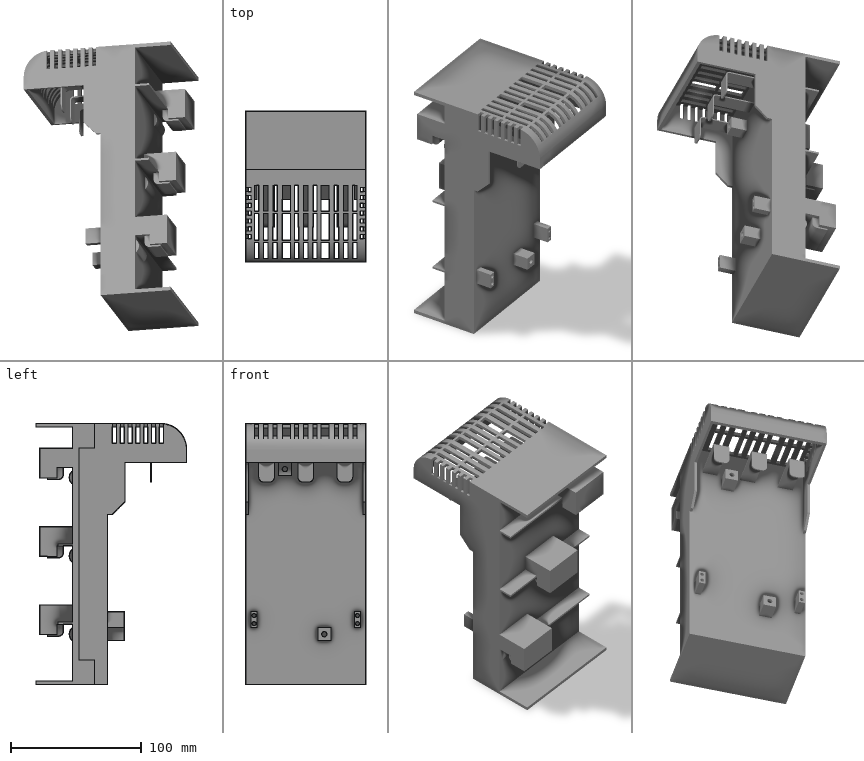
import cadquery as cq


width = 92.0
height = 200.0
half_width = width / 2

base_rear_y = 27.0
joint_y = 10.2
flange_length = 28.0
flange_thickness = 2.8

flap_thickness = 2.0
flap_rear_y = 21.8
flap_end_margin = 19.0

hook_count = 3
hook_pitch_x = 30.0
hook_pitch_z = 60.0
top_hook_z = 181.0
hook_width = 32.0
hook_rear_y = 52.0
hook_height = 22.8
throat_drop = 14.8
throat_rear_y = 38.5
ledge_thickness = 1.5
ledge_rear_y = 38.0

clip_width = 26.0
clip_front_y = 33.8
clip_rear_y = 46.2
clip_overhang = 1.2
clip_radius = 4.0
pad_rise = 2.5
pad_chord = 10.0
pad_drop = 22.5

hood_front_y = -60.5
hood_bottom_z = 170.0
hood_radius = 20.0
hood_wall = 2.8
cheek_thickness = 2.0
cheek_front_y = -13.5
cheek_bottom_z = 130.2
cheek_chamfer = 9.8

slot_width = 3.2
wide_slot_width = 6.2
narrow_slot_offsets = [0.0, 7.0, 23.5, 30.5, 37.5]
wide_slot_offset = 14.8
slots_rear_y = -2.0
slots_front_y = hood_front_y + hood_wall
slot_bar_width = 2.0
slot_bar_ys = [-22.5, -44.8]

edge_slot_count = 7
edge_slot_pitch = 6.0
edge_slot_width = 3.0
edge_slot_depth = 4.2
edge_slot_bottom_z = 185.0
first_edge_slot_y = -5.2

tongue_width = 12.0
tongue_thickness = 1.0
tongue_front_y = -33.8
tongue_top_z = 174.8
tongue_bottom_z = 155.0
tongue_bend_radius = 3.0
tongue_corner_radius = 4.0

lug_length = 12.8
screw_lug_size = 10.0
screw_hole_diameter = 4.0
screw_lug_centers = [(-16.0, 165.0), (14.2, 38.5)]
twin_lug_width = 4.8
twin_lug_height = 12.2
twin_lug_x = 39.5
twin_lug_z = 49.8
twin_hole_diameter = 3.0
twin_hole_pitch = 6.2


def block(x_range, y_range, z_range):
    """Box between the given limits."""
    limits = (x_range, y_range, z_range)
    sizes = [high - low for low, high in limits]
    corner = tuple(low for low, high in limits)
    return cq.Workplane("XY").box(*sizes, centered=False).translate(corner)


def centered(middle, size):
    """Limits of a span of the given size about its middle."""
    return (middle - size / 2, middle + size / 2)


full_width = centered(0, width)
full_height = (0, height)


def side_flaps():
    """Thin flaps on both sides, reaching back from the joint."""
    flap_y = (joint_y, flap_rear_y)
    flap_z = (flap_end_margin, height - flap_end_margin)
    left = block((-half_width, -half_width + flap_thickness), flap_y, flap_z)
    right = block((half_width - flap_thickness, half_width), flap_y, flap_z)
    return left.union(right)


def busbar_hook(center_x, top_z):
    """Hook with its ledge, contact clip and rounded pad."""
    bottom_z = top_z - hook_height
    throat_z = top_z - throat_drop
    hook_x = centered(center_x, hook_width)
    clip_x = centered(center_x, clip_width)

    arm = block(hook_x, (base_rear_y, hook_rear_y), (throat_z, top_z))
    nose = block(hook_x, (throat_rear_y, hook_rear_y), (bottom_z, throat_z))
    ledge = block(full_width, (base_rear_y, ledge_rear_y), (throat_z, throat_z + ledge_thickness))
    clip = block(clip_x, (clip_front_y, clip_rear_y), (bottom_z - clip_overhang, throat_z))
    clip = clip.edges("|X and <Y and <Z").fillet(clip_radius)

    pad_z = top_z - pad_drop
    pad = (
        cq.Workplane("YZ", origin=(clip_x[0], 0, 0))
        .moveTo(base_rear_y, pad_z - pad_chord / 2)
        .threePointArc((base_rear_y + pad_rise, pad_z), (base_rear_y, pad_z + pad_chord / 2))
        .close()
        .extrude(clip_width)
    )
    return arm.union(nose).union(ledge).union(clip).union(pad)


def make_base():
    """Rear base with end flanges and three busbar hooks."""
    base = block(full_width, (joint_y, base_rear_y), full_height)
    flange_y = (base_rear_y, base_rear_y + flange_length)
    for flange_z in [(0, flange_thickness), (height - flange_thickness, height)]:
        base = base.union(block(full_width, flange_y, flange_z))
    for step in range(hook_count):
        base = base.union(busbar_hook((step - 1) * hook_pitch_x, top_hook_z - step * hook_pitch_z))
    return base.cut(side_flaps())


def hood_outline(x, wall):
    """Side outline of the hood, inset by a wall at the top and front."""
    front_y = hood_front_y + wall
    top_z = height - wall
    return (
        cq.Workplane("YZ", origin=(x, 0, 0))
        .moveTo(0, hood_bottom_z)
        .lineTo(front_y, hood_bottom_z)
        .lineTo(front_y, height - hood_radius)
        .radiusArc((hood_front_y + hood_radius, top_z), hood_radius - wall)
        .lineTo(0, top_z)
        .close()
    )


def hood_shell():
    """Hood with a rounded front edge, open underneath."""
    outside = hood_outline(-half_width, 0).extrude(width)
    inside_width = width - 2 * cheek_thickness
    inside = hood_outline(-inside_width / 2, hood_wall).extrude(inside_width)
    return outside.cut(inside)


def cheek(left_x):
    """Side wall below the hood, chamfered at its lower front corner."""
    return (
        cq.Workplane("YZ", origin=(left_x, 0, 0))
        .moveTo(0, hood_bottom_z)
        .lineTo(cheek_front_y, hood_bottom_z)
        .lineTo(cheek_front_y, cheek_bottom_z + cheek_chamfer)
        .lineTo(cheek_front_y + cheek_chamfer, cheek_bottom_z)
        .lineTo(0, cheek_bottom_z)
        .close()
        .extrude(cheek_thickness)
    )


def top_slots():
    """Cutters for the rows of slots through the top of the hood."""
    slots = [(offset, slot_width) for offset in narrow_slot_offsets]
    slots.append((wide_slot_offset, wide_slot_width))
    cut_z = (height - hood_radius, height)
    cutters = cq.Workplane("XY")
    for offset, size in slots:
        for x in {-offset, offset}:
            cutters = cutters.add(block(centered(x, size), (slots_front_y, slots_rear_y), cut_z))
    cutters = cutters.combine()
    for bar_y in slot_bar_ys:
        cutters = cutters.cut(block(full_width, centered(bar_y, slot_bar_width), cut_z))
    return cutters


def edge_slots():
    """Cutters for the slots along both upper side edges of the hood."""
    cut_z = (edge_slot_bottom_z, height)
    cutters = cq.Workplane("XY")
    for index in range(edge_slot_count):
        cut_y = centered(first_edge_slot_y - index * edge_slot_pitch, edge_slot_width)
        cutters = cutters.add(block((-half_width, -half_width + edge_slot_depth), cut_y, cut_z))
        cutters = cutters.add(block((half_width - edge_slot_depth, half_width), cut_y, cut_z))
    return cutters.combine()


def tongue(center_x):
    """Sheet-metal strip that leaves the front face, bends down and ends with round corners."""
    tongue_x = centered(center_x, tongue_width)
    outer = block(tongue_x, (tongue_front_y, 0), (tongue_bottom_z, tongue_top_z))
    outer = outer.edges("|X and <Y and >Z").fillet(tongue_bend_radius)
    inner = block(
        tongue_x,
        (tongue_front_y + tongue_thickness, 0),
        (tongue_bottom_z, tongue_top_z - tongue_thickness),
    )
    inner = inner.edges("|X and <Y and >Z").fillet(tongue_bend_radius - tongue_thickness)
    return outer.cut(inner).edges("|Y and <Z").fillet(tongue_corner_radius)


def lug(center_x, center_z, size_x, size_z, hole_offsets, hole_diameter):
    """Block on the front face with holes along its full length."""
    body = block(centered(center_x, size_x), (-lug_length, 0), centered(center_z, size_z))
    holes = (
        cq.Workplane("XZ", origin=(center_x, 0, center_z))
        .pushPoints([(0, offset) for offset in hole_offsets])
        .circle(hole_diameter / 2)
        .extrude(lug_length)
    )
    return body.cut(holes)


def make_cover():
    """Front cover with its hood, side flaps, tongues and lugs."""
    cover = block(full_width, (0, joint_y), full_height).union(side_flaps())
    cover = cover.union(hood_shell().cut(top_slots()).cut(edge_slots()))
    for left_x in [-half_width, half_width - cheek_thickness]:
        cover = cover.union(cheek(left_x))
    for step in range(hook_count):
        cover = cover.union(tongue((step - 1) * hook_pitch_x))
    for x, z in screw_lug_centers:
        cover = cover.union(lug(x, z, screw_lug_size, screw_lug_size, [0], screw_hole_diameter))
    twin_holes = centered(0, twin_hole_pitch)
    for x in [-twin_lug_x, twin_lug_x]:
        cover = cover.union(
            lug(x, twin_lug_z, twin_lug_width, twin_lug_height, twin_holes, twin_hole_diameter)
        )
    return cover


base = make_base()
cover = make_cover()
result = cq.Compound.makeCompound([base.solids().val(), cover.solids().val()])